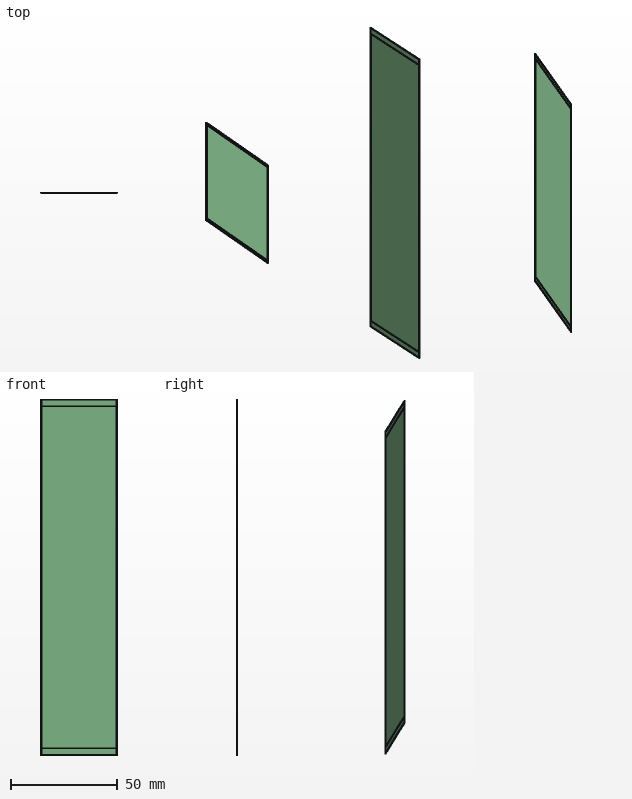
import cadquery as cq

WIDTH = 35.78
THICKNESS = 0.25
HEIGHT = 166.92

EDGE_STEP_WIDTH = 0.4
EDGE_STEP_DEPTH = 0.1

WINDOW_SIDE_MARGIN = 0.5
WINDOW_END_MARGIN = 3.2
WINDOW_DEPTH = 0.15

FRONT_Y = -THICKNESS / 2


def front_cutter(width, depth, height, center_x=0):
    """Block that removes the given depth from the front face, centred on Z."""
    block = cq.Workplane("XY").box(width, depth, height)
    return block.translate((center_x, FRONT_Y + depth / 2, 0))


def sheet():
    """Plain rectangular sheet."""
    return cq.Workplane("XY").box(WIDTH, THICKNESS, HEIGHT)


def step_long_edges(body):
    """Thin the front face along the full length of both long edges."""
    step_center_x = (WIDTH - EDGE_STEP_WIDTH) / 2
    for side in (-1, 1):
        body = body.cut(front_cutter(EDGE_STEP_WIDTH, EDGE_STEP_DEPTH, HEIGHT, side * step_center_x))
    return body


def recess_window(body):
    """Sink the window into the front face."""
    window_width = WIDTH - 2 * WINDOW_SIDE_MARGIN
    window_height = HEIGHT - 2 * WINDOW_END_MARGIN
    return body.cut(front_cutter(window_width, WINDOW_DEPTH, window_height))


result = recess_window(step_long_edges(sheet()))